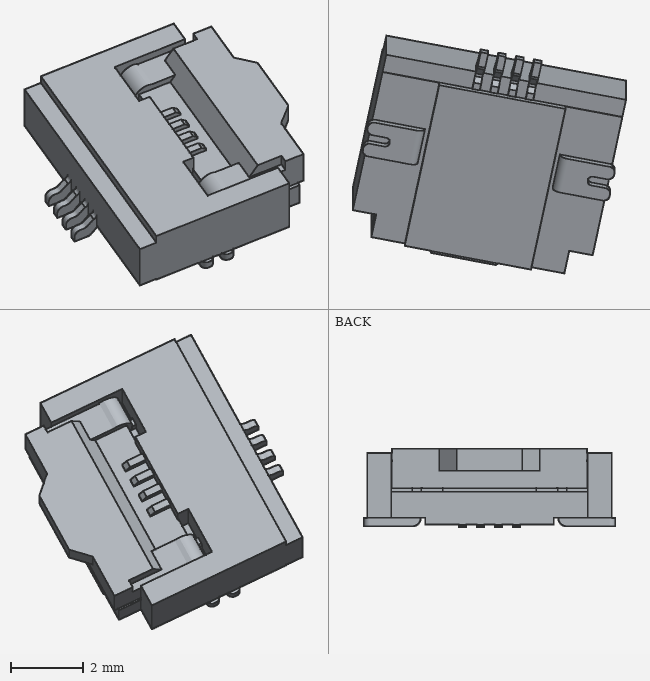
import cadquery as cq


housing_width = 6.795
housing_rear = 4.705
housing_top = 2.07
housing_bottom = 0.265
step_depth = 0.52
step_top = 1.795
step_bottom = 0.295

pocket_width = 5.465
pocket_front = 2.49
pocket_floor = 0.99
tongue_width = 2.585
tongue_rear = 2.82

ledge_rear = 5.39
plate_width = 3.58
plate_bottom = 0.08

actuator_width = 5.425
actuator_top = 2.19
actuator_bottom = 1.09
actuator_rear = 5.52
shelf_front = 2.79
shelf_top = 1.62
bevel_top = 4.2
bevel_bottom = 3.775
grip_rear = 6.01
grip_bottom = 1.58
grip_base_width = 2.78
grip_tip_width = 1.82

arm_inner = 1.865
arm_top = 1.83
notch_inner = 2.48
notch_rear = 4.95
barrel_rise_start = 3.215
barrel_rise_end = 3.07
barrel_top = 1.86
barrel_front = 2.615
barrel_radius = barrel_rise_end - barrel_front

lug_inner = 1.895
lug_top_outer = 2.09
lug_outer = 2.14
lug_top = 1.26
lug_length = 0.28

contact_count = 4
contact_pitch = 0.5
contact_width = 0.21
contact_top = 1.79
contact_rear = 3.45
contact_bevel_start = 3.305
contact_rear_top = 1.665

foot_root = 0.63
foot_top = 0.74
foot_end = -0.7
upper_bend = ((-0.03, 0.66), (-0.1, 0.615))
slope_start_bend = ((-0.125, 0.595), (-0.155, 0.565))
slope_end = (-0.3, 0.44)
slope_end_bend = ((-0.35, 0.405), (-0.405, 0.39))
toe_start = (-0.495, 0.39)
toe_bend = ((-0.64, 0.335), (foot_end, 0.195))
sole_start = -0.27
heel = (-0.195, 0.03)
neck_bottom = 0.27
neck_front = 0.05
neck_rear = 0.13
bump_bottom = 0.125
bump_front = 0.27
bump_rear = 0.46

tab_inner = 1.91
tab_outer = 3.495
tab_bottom = 0.03
tab_corner = 0.23
finger_width = 0.38
finger_rounding = 0.17
finger_centers = (2.13, 2.775)
slot_end = 2.935


def block(x_range, y_range, z_range):
    """Box given by its start and end along each axis."""
    return (
        cq.Workplane("XY")
        .box(
            x_range[1] - x_range[0],
            y_range[1] - y_range[0],
            z_range[1] - z_range[0],
            centered=False,
        )
        .translate((x_range[0], y_range[0], z_range[0]))
    )


def centered_block(width, y_range, z_range):
    """Box centred on X = 0."""
    return block((-width / 2, width / 2), y_range, z_range)


def both_sides(right_half):
    """The given solid together with its mirror image about X = 0."""
    return right_half.union(right_half.mirror("YZ"))


def side_profile(x_start):
    """Sketch plane at x_start with local axes along Y and Z, extruding toward +X."""
    return cq.Workplane("YZ", origin=(x_start, 0, 0))


def make_housing():
    body = centered_block(housing_width, (step_depth, housing_rear), (housing_bottom, housing_top))
    front_step = centered_block(housing_width, (0, step_depth), (step_bottom, step_top))
    pocket = centered_block(pocket_width, (pocket_front, housing_rear), (pocket_floor, housing_top))
    tongue = centered_block(tongue_width, (pocket_front, tongue_rear), (pocket_floor, housing_top))
    ledge = centered_block(pocket_width, (housing_rear, ledge_rear), (housing_bottom, pocket_floor))
    plate = centered_block(plate_width, (step_depth, ledge_rear), (plate_bottom, housing_bottom))
    return body.union(front_step).cut(pocket).union(tongue).union(ledge).union(plate)


def make_lug():
    return (
        cq.Workplane("XZ", origin=(0, pocket_front, 0))
        .moveTo(lug_inner, pocket_floor)
        .lineTo(lug_inner, lug_top)
        .lineTo(lug_top_outer, lug_top)
        .lineTo(lug_outer, lug_top - (lug_outer - lug_top_outer))
        .lineTo(lug_outer, pocket_floor)
        .close()
        .extrude(-lug_length)
    )


def make_actuator():
    cover = (
        side_profile(-actuator_width / 2)
        .moveTo(shelf_front, actuator_bottom)
        .lineTo(shelf_front, shelf_top)
        .lineTo(bevel_bottom, shelf_top)
        .lineTo(bevel_top, actuator_top)
        .lineTo(actuator_rear, actuator_top)
        .lineTo(actuator_rear, actuator_bottom)
        .close()
        .extrude(actuator_width)
    )
    notch = block(
        (notch_inner, actuator_width / 2), (shelf_front, notch_rear), (arm_top, actuator_top)
    )
    grip = (
        cq.Workplane("XY", origin=(0, 0, grip_bottom))
        .moveTo(-grip_base_width / 2, actuator_rear)
        .lineTo(-grip_tip_width / 2, grip_rear)
        .lineTo(grip_tip_width / 2, grip_rear)
        .lineTo(grip_base_width / 2, actuator_rear)
        .close()
        .extrude(actuator_top - grip_bottom)
    )
    arm = block(
        (arm_inner, actuator_width / 2), (barrel_rise_start, notch_rear), (actuator_bottom, arm_top)
    )
    barrel = (
        side_profile(arm_inner)
        .moveTo(barrel_rise_start, actuator_bottom)
        .lineTo(barrel_rise_start, arm_top)
        .lineTo(barrel_rise_end, barrel_top)
        .radiusArc((barrel_front, barrel_top - barrel_radius), -barrel_radius)
        .lineTo(barrel_front, actuator_bottom)
        .close()
        .extrude(pocket_width / 2 - arm_inner)
    )
    return cover.cut(both_sides(notch)).union(grip).union(both_sides(arm.union(barrel)))


def make_contact(x_center):
    """Solder foot in front of the housing and contact tip on the actuator shelf."""
    x_start = x_center - contact_width / 2
    foot = (
        side_profile(x_start)
        .moveTo(foot_root, foot_top)
        .lineTo(0, foot_top)
        .threePointArc(*upper_bend)
        .threePointArc(*slope_start_bend)
        .lineTo(*slope_end)
        .threePointArc(*slope_end_bend)
        .lineTo(*toe_start)
        .threePointArc(*toe_bend)
        .lineTo(foot_end, 0)
        .lineTo(sole_start, 0)
        .lineTo(*heel)
        .lineTo(neck_front, neck_bottom)
        .lineTo(neck_rear, neck_bottom)
        .lineTo(bump_front, bump_bottom)
        .lineTo(bump_rear, bump_bottom)
        .lineTo(step_depth, housing_bottom)
        .lineTo(foot_root, housing_bottom)
        .close()
        .extrude(contact_width)
    )
    tip = (
        side_profile(x_start)
        .moveTo(tongue_rear, shelf_top)
        .lineTo(tongue_rear, contact_top)
        .lineTo(contact_bevel_start, contact_top)
        .lineTo(contact_rear, contact_rear_top)
        .lineTo(contact_rear, shelf_top)
        .close()
        .extrude(contact_width)
    )
    return foot.union(tip)


def make_tab():
    """Forked solder tab under the housing: two rounded fingers with a round-ended slot between."""
    y_start = finger_centers[0] - finger_width / 2
    y_end = finger_centers[1] + finger_width / 2
    slot_center = (finger_centers[0] + finger_centers[1]) / 2
    slot_width = finger_centers[1] - finger_centers[0] - finger_width
    z_range = (tab_bottom, housing_bottom)

    tab = block((tab_inner, slot_end), (y_start, y_end), z_range)
    tab = tab.edges("<X and <Z").fillet(tab_corner)
    for y_center in finger_centers:
        finger = block(
            (slot_end, tab_outer),
            (y_center - finger_width / 2, y_center + finger_width / 2),
            z_range,
        )
        tab = tab.union(finger.edges("|Z and >X").fillet(finger_rounding))
    slot_round = (
        cq.Workplane("XY", origin=(slot_end, slot_center, tab_bottom))
        .circle(slot_width / 2)
        .extrude(housing_bottom - tab_bottom)
    )
    return tab.cut(slot_round)


result = make_housing().union(make_actuator()).union(both_sides(make_lug()))
for index in range(contact_count):
    result = result.union(make_contact((index - (contact_count - 1) / 2) * contact_pitch))
result = result.union(both_sides(make_tab()))